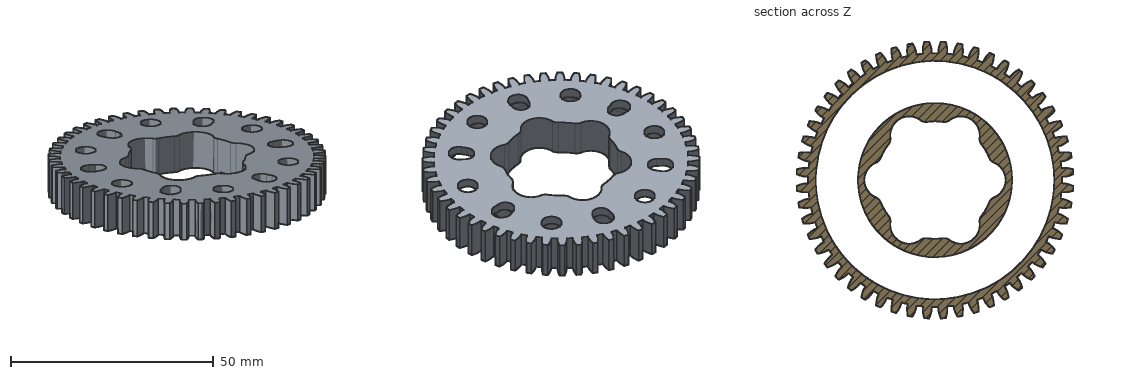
import cadquery as cq
import math

tooth_count = 52
diametral_pitch = 20
module = 25.4 / diametral_pitch
dedendum = 1.25 * module
pressure_angle = math.radians(14.5)
tooth_pitch = 2 * math.pi / tooth_count
pitch_radius = module * tooth_count / 2
base_radius = pitch_radius * math.cos(pressure_angle)
tip_radius = pitch_radius + module
root_radius = pitch_radius - dedendum
flank_segments = 6
thickness = 9.525

bore_radius = 14.5
lobe_count = 6
lobe_offset = 12.8
lobe_radius = 4.65
bore_corner_radius = 2.0

bolt_circle_radius = 25.4
hole_count = 6
hole_spacing = 360 / hole_count
hole_radius = 2.5
slot_inner_offset = 23.8125
slot_inner_radius = 2.25

web_thickness = 2.3
hub_radius = 19.05
pocket_outer_radius = 29.5
pocket_fillet = 3.175

mark_radius = 1.1
mark_depth = 0.85


def polar(radius, angle, centre_x=0):
    """Point at a radius and angle about (centre_x, 0)."""
    return (centre_x + radius * math.cos(angle), radius * math.sin(angle))


def involute(angle):
    return math.tan(angle) - angle


def tooth_half_angle(radius):
    """Half the angle a tooth spans at a radius; below the base circle the flank is radial."""
    flank_angle = math.acos(min(base_radius / radius, 1))
    return tooth_pitch / 4 + involute(pressure_angle) - involute(flank_angle)


def gear_blank():
    """Toothed disc with tooth spaces centred on the X and Y axes."""
    step = (tip_radius - base_radius) / flank_segments
    radii = [root_radius] + [base_radius + step * i for i in range(flank_segments + 1)]
    root_half_angle = tooth_half_angle(root_radius)

    outline = cq.Workplane("XY").moveTo(*polar(root_radius, tooth_pitch / 2 - root_half_angle))
    for tooth in range(tooth_count):
        middle = (tooth + 0.5) * tooth_pitch
        next_space = middle + tooth_pitch / 2
        next_root = middle + tooth_pitch - root_half_angle
        rising = [polar(r, middle - tooth_half_angle(r)) for r in radii]
        falling = [polar(r, middle + tooth_half_angle(r)) for r in reversed(radii)]
        outline = (
            outline.spline(rising[1:], includeCurrent=True)
            .threePointArc(polar(tip_radius, middle), falling[0])
            .spline(falling[1:], includeCurrent=True)
            .threePointArc(polar(root_radius, next_space), polar(root_radius, next_root))
        )
    return outline.close().extrude(thickness)


def lobed_bore():
    """Circular bore with six round lobes, whose meeting corners are rounded."""
    bore = cq.Workplane("XY").circle(bore_radius).extrude(thickness)
    lobes = (
        cq.Workplane("XY")
        .polarArray(lobe_offset, 0, 360, lobe_count)
        .circle(lobe_radius)
        .extrude(thickness)
    )
    return bore.union(lobes).edges("|Z").fillet(bore_corner_radius)


def pocket():
    """Ring cut into the lower face, with rounded corners under the web."""
    depth = thickness - web_thickness
    ring = cq.Workplane("XY").circle(pocket_outer_radius).circle(hub_radius).extrude(depth)
    return ring.faces(">Z").edges().fillet(pocket_fillet)


def timing_mark():
    """Round dimple in the lower face, centred on the bore wall on the +Y side."""
    return cq.Workplane("XY").center(0, bore_radius).circle(mark_radius).extrude(mark_depth)


def bolt_holes():
    """Round through holes, the first one half a spacing from the X axis."""
    return (
        cq.Workplane("XY")
        .polarArray(bolt_circle_radius, hole_spacing / 2, 360, hole_count)
        .circle(hole_radius)
        .extrude(thickness)
    )


def tapered_slot(direction):
    """Slot around a bolt-hole circle and a smaller circle nearer the axis, joined by tangents."""
    taper = math.asin((hole_radius - slot_inner_radius) / (bolt_circle_radius - slot_inner_offset))
    tangent = math.pi / 2 + taper
    return (
        cq.Workplane("XY")
        .moveTo(*polar(slot_inner_radius, -tangent, slot_inner_offset))
        .lineTo(*polar(hole_radius, -tangent, bolt_circle_radius))
        .threePointArc(
            polar(hole_radius, 0, bolt_circle_radius),
            polar(hole_radius, tangent, bolt_circle_radius),
        )
        .lineTo(*polar(slot_inner_radius, tangent, slot_inner_offset))
        .threePointArc(
            polar(slot_inner_radius, math.pi, slot_inner_offset),
            polar(slot_inner_radius, -tangent, slot_inner_offset),
        )
        .close()
        .extrude(thickness)
        .rotate((0, 0, 0), (0, 0, 1), direction)
    )


gear = gear_blank().cut(pocket()).cut(timing_mark()).cut(lobed_bore()).cut(bolt_holes())
for slot_index in range(hole_count):
    gear = gear.cut(tapered_slot(slot_index * hole_spacing))

result = gear